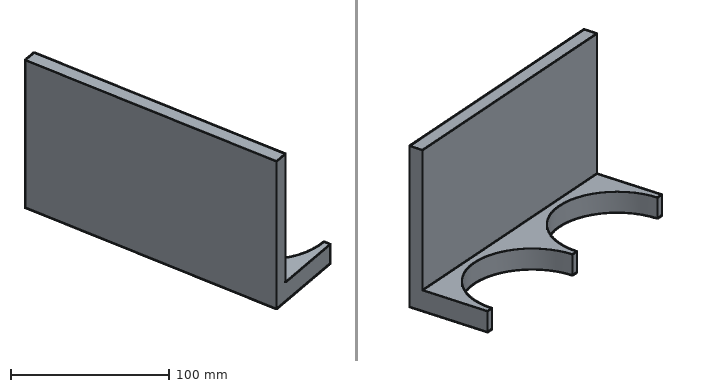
import cadquery as cq

width = 192.8
depth = 60.0
height = 115.0

plate_thickness = 10.0
shelf_thickness = 15.0
rim = 5.0

cutout_count = 2
cutout_radius = (width - (cutout_count + 1) * rim) / (2 * cutout_count)
cutout_pitch = 2 * cutout_radius + rim


def corner_block(size_y, size_z):
    """Full-width block with its front lower left corner at the origin."""
    return cq.Workplane("XY").box(width, size_y, size_z, centered=False)


plate = corner_block(plate_thickness, height)
shelf = corner_block(depth, shelf_thickness)
result = plate.union(shelf)

for index in range(cutout_count):
    center_x = rim + cutout_radius + index * cutout_pitch
    cutout = cq.Workplane("XY").center(center_x, depth).circle(cutout_radius).extrude(shelf_thickness)
    result = result.cut(cutout)